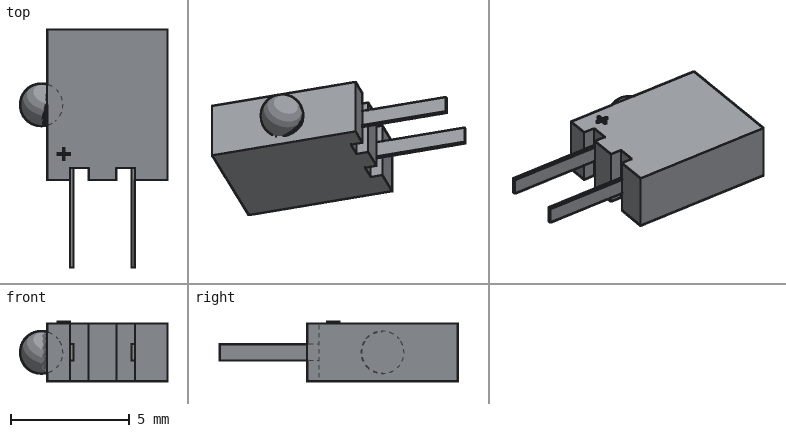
import cadquery as cq

overall_length = 10.03
overall_width = 6.22

housing_width = 5.08
housing_length = 6.35
housing_height = 2.45
mid_height = housing_height / 2
front_y = -housing_length

notch_depth = 0.51
notch_width = 0.78
tooth_width = 1.17
first_notch_x = 0.96
second_notch_x = first_notch_x + notch_width + tooth_width
notch_floor_y = front_y + notch_depth

lead_thickness = 0.15
lead_height = 0.7
lead_length = overall_length - housing_length + notch_depth
first_lead_x = first_notch_x
second_lead_x = second_notch_x + notch_width - lead_thickness

lens_radius = 0.9
lens_x = housing_width - overall_width + lens_radius

plus_span = 0.52
plus_bar_width = 0.08
plus_height = 0.07
plus_x = 0.7
plus_setback = 1.1
plus_y = front_y + plus_setback


def make_housing():
    """Plain block with the notches cut through its full height."""
    block = cq.Workplane("XY").box(housing_width, housing_length, housing_height, centered=False)
    block = block.translate((0, front_y, 0))
    for notch_x in (first_notch_x, second_notch_x):
        notch = cq.Workplane("XY").box(notch_width, notch_depth, housing_height, centered=False)
        block = block.cut(notch.translate((notch_x, front_y, 0)))
    return block


def make_lead(lead_x):
    """Flat lead that runs forward from the notch floor."""
    lead = cq.Workplane("XY").box(
        lead_thickness, lead_length, lead_height, centered=(False, False, True)
    )
    return lead.translate((lead_x, -overall_length, mid_height))


def make_lens():
    """Ball centred just outside the left face and partly sunk into the housing."""
    return cq.Workplane("XY").sphere(lens_radius).translate((lens_x, front_y / 2, mid_height))


def make_plus_sign():
    """Two crossed bars standing on the top face."""
    centre = (plus_x, plus_y)
    top_face = cq.Workplane("XY").workplane(offset=housing_height)
    bar_along_x = top_face.center(*centre).rect(plus_span, plus_bar_width).extrude(plus_height)
    bar_along_y = top_face.center(*centre).rect(plus_bar_width, plus_span).extrude(plus_height)
    return bar_along_x.union(bar_along_y)


result = make_housing().union(make_lens()).union(make_plus_sign())
for lead_x in (first_lead_x, second_lead_x):
    result = result.union(make_lead(lead_x))